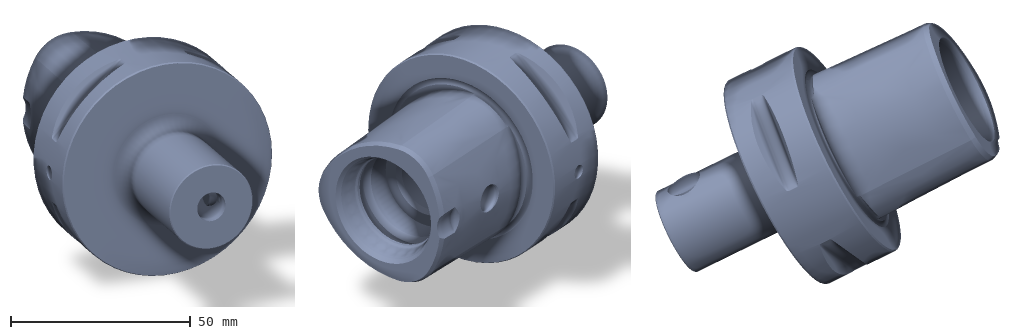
import cadquery as cq
import math


overall_length = 92.0
flange_front = 38.0
flange_width = 22.0
flange_back = flange_front + flange_width

shank_end = 35.9
shank_mean_radius = 22.0
lobe_center_distance = 10.1
lobe_rise = lobe_center_distance * (1 - math.sqrt(3) / 2)
shank_taper = 1 / 40
shank_chamfer_length = 1.5
shank_chamfer_depth = 0.6
lobe_count = 3

neck_radius = 22.5
neck_front = 37.5
relief_chamfer_length = 0.7
relief_chamfer_height = 1.0
relief_outer_radius = 24.3
relief_bottom_x = 38.5
relief_bottom_radius = 23.6

flange_radius = 63.0 / 2
flange_chamfer_length = 0.5
flange_chamfer_depth = 0.3
spigot_radius = 12.5
spigot_fillet = 3.9
spigot_chamfer = 0.3

mouth_radius = 16.1
mouth_cone_radius = 15.2
mouth_cone_start = 1.4
lip_cone_end = 6.35
lip_cone_radius = 13.9
lip_radius = 13.4
lip_start = 6.9
lip_end = 7.9
groove_radius = 16.0
groove_cone_start = 11.9
groove_cone_end = 13.4
groove_fillet = 0.9
socket_depth = 20.7
thread_chamfer_radius = 10.0
thread_radius = 8.8
thread_end = 50.6
through_radius = 4.2
drill_half_angle = math.radians(59)

slot_x = 50.05
slot_floor_height = 27.9
slot_floor_width = 3.6
slot_wall_angle = math.radians(30)
slot_fillet = 0.8
slot_count = 4

index_hole_radius = 2.0
index_hole_depth = 5.0

side_hole_x = 22.5
side_hole_radius = 8.0 / 2
side_hole_depth = 5.15
side_hole_countersink = 0.32

notch_radius = 6.0
notch_axis_y = -24.1
notch_length = 6.5

screw_x = 82.9
screw_radius = 5.15
screw_bottom = 2.0
screw_point_radius = 3.0
screw_point_length = 2.1
screw_point_chamfer = 0.3
screw_top = 12.0


def mean_radius_at(x):
    return shank_mean_radius - (shank_end - x) * shank_taper


def polygon_wire(x, mean_radius):
    """Constant-width outline of three lobe arcs and three flatter arcs between them."""
    offset = lobe_center_distance * math.sqrt(3) / 2
    edges = []
    for index in range(lobe_count):
        lobe_angle = index * 2 * math.pi / lobe_count
        center_y = lobe_center_distance * math.cos(lobe_angle)
        center_z = lobe_center_distance * math.sin(lobe_angle)
        lobe_arc = (mean_radius - offset, lobe_angle)
        flat_arc = (mean_radius + offset, lobe_angle + math.pi)
        for radius, middle in (lobe_arc, flat_arc):
            angles = (middle - math.pi / 6, middle, middle + math.pi / 6)
            points = [
                cq.Vector(x, center_y + radius * math.cos(a), center_z + radius * math.sin(a))
                for a in angles
            ]
            edges.append(cq.Edge.makeThreePointArc(*points))
    return cq.Wire.assembleEdges(edges)


def revolve_about_x(profile):
    return profile.close().revolve(360, (0, 0, 0), (1, 0, 0))


def drill(radius, depth):
    """Cutter along +X from the origin: a cylinder with a conical tip."""
    tip = radius / math.tan(drill_half_angle)
    return revolve_about_x(
        cq.Workplane("XY").lineTo(0, radius).lineTo(depth, radius).lineTo(depth + tip, 0)
    )


def radial_drill(x, surface_radius, radius, depth):
    """Drill going in from the -Y side towards the axis."""
    return drill(radius, depth).rotate((0, 0, 0), (0, 0, 1), 90).translate((x, -surface_radius, 0))


def polygon_shank():
    tip_radius = mean_radius_at(shank_chamfer_length)
    tip_wire = polygon_wire(0, tip_radius - shank_chamfer_depth)
    chamfer_wire = polygon_wire(shank_chamfer_length, tip_radius)
    end_wire = polygon_wire(shank_end, shank_mean_radius)
    root_wire = polygon_wire(neck_front, shank_mean_radius)
    shank = cq.Workplane(cq.Solid.makeLoft([tip_wire, chamfer_wire], True))
    shank = shank.union(cq.Workplane(cq.Solid.makeLoft([chamfer_wire, end_wire], True)))
    return shank.union(cq.Workplane(cq.Solid.makeLoft([end_wire, root_wire], True)))


def lobe_relief():
    """Turns the lobes down to the neck radius just ahead of the flange."""
    return revolve_about_x(
        cq.Workplane("XY")
        .moveTo(shank_end, neck_radius + relief_chamfer_height)
        .lineTo(shank_end + relief_chamfer_length, neck_radius)
        .lineTo(neck_front, neck_radius)
        .lineTo(neck_front, flange_radius)
        .lineTo(shank_end, flange_radius)
    )


def flange_and_spigot():
    fillet_end = flange_back + spigot_fillet
    fillet_middle = spigot_fillet * (1 - math.sqrt(0.5))
    return revolve_about_x(
        cq.Workplane("XY")
        .moveTo(neck_front, 0)
        .lineTo(neck_front, neck_radius)
        .threePointArc(
            (relief_bottom_x, relief_bottom_radius), (flange_front, relief_outer_radius)
        )
        .lineTo(flange_front, flange_radius - flange_chamfer_depth)
        .lineTo(flange_front + flange_chamfer_length, flange_radius)
        .lineTo(flange_back - flange_chamfer_length, flange_radius)
        .lineTo(flange_back, flange_radius - flange_chamfer_depth)
        .lineTo(flange_back, spigot_radius + spigot_fillet)
        .threePointArc(
            (flange_back + fillet_middle, spigot_radius + fillet_middle),
            (fillet_end, spigot_radius),
        )
        .lineTo(overall_length - spigot_chamfer, spigot_radius)
        .lineTo(overall_length, spigot_radius - spigot_chamfer)
        .lineTo(overall_length, 0)
    )


def stepped_bore():
    thread_chamfer = thread_chamfer_radius - thread_radius
    drill_tip = (thread_radius - through_radius) / math.tan(drill_half_angle)
    fillet_middle = groove_fillet * (1 - math.sqrt(0.5))
    groove_cone_radius = lip_radius + groove_cone_end - groove_cone_start
    return revolve_about_x(
        cq.Workplane("XY")
        .lineTo(0, mouth_radius)
        .lineTo(mouth_cone_start, mouth_cone_radius)
        .lineTo(lip_cone_end, lip_cone_radius)
        .lineTo(lip_start, lip_radius)
        .lineTo(lip_end, lip_radius)
        .lineTo(lip_end, groove_radius)
        .lineTo(groove_cone_start - groove_fillet, groove_radius)
        .threePointArc(
            (groove_cone_start - fillet_middle, groove_radius - fillet_middle),
            (groove_cone_start, groove_cone_radius),
        )
        .lineTo(groove_cone_end, lip_radius)
        .lineTo(socket_depth, lip_radius)
        .lineTo(socket_depth, thread_chamfer_radius)
        .lineTo(socket_depth + thread_chamfer, thread_radius)
        .lineTo(thread_end, thread_radius)
        .lineTo(thread_end + drill_tip, through_radius)
        .lineTo(overall_length, through_radius)
        .lineTo(overall_length, 0)
    )


def gripper_slot(angle):
    """Straight V-sided slot across the flange, turned about X."""
    height = flange_radius - slot_floor_height
    half_floor = slot_floor_width / 2
    half_top = half_floor + height * math.tan(slot_wall_angle)
    return (
        cq.Workplane("XZ")
        .moveTo(slot_x - half_floor, slot_floor_height)
        .lineTo(slot_x + half_floor, slot_floor_height)
        .lineTo(slot_x + half_top, flange_radius)
        .lineTo(slot_x - half_top, flange_radius)
        .close()
        .extrude(flange_radius, both=True)
        .faces("<Z")
        .edges("|Y")
        .fillet(slot_fillet)
        .rotate((0, 0, 0), (1, 0, 0), angle)
    )


def side_hole():
    surface_radius = mean_radius_at(side_hole_x) - lobe_rise
    hole = radial_drill(side_hole_x, surface_radius, side_hole_radius, side_hole_depth)
    cone_height = 2 * side_hole_countersink
    cone = cq.Solid.makeCone(
        side_hole_radius + cone_height,
        side_hole_radius,
        cone_height,
        cq.Vector(side_hole_x, -surface_radius - side_hole_countersink, 0),
        cq.Vector(0, 1, 0),
    )
    return hole.union(cq.Workplane(cone))


def drive_notch():
    return revolve_about_x(
        cq.Workplane("XY")
        .lineTo(0, notch_radius)
        .lineTo(notch_length, notch_radius)
        .lineTo(notch_length + notch_radius, 0)
    ).translate((0, notch_axis_y, 0))


def screw_body(top):
    """Flat-pointed cylinder along Y up to the given height, used for the screw and its hole."""
    point = (
        cq.Workplane("XZ", origin=(screw_x, screw_bottom, 0))
        .circle(screw_point_radius)
        .extrude(-screw_point_length)
        .faces("<Y")
        .chamfer(screw_point_chamfer)
    )
    shank_bottom = screw_bottom + screw_point_length
    shank = (
        cq.Workplane("XZ", origin=(screw_x, shank_bottom, 0))
        .circle(screw_radius)
        .extrude(shank_bottom - top)
    )
    return point.union(shank)


def adapter_body():
    body = polygon_shank().cut(lobe_relief()).union(flange_and_spigot())
    body = body.cut(stepped_bore()).cut(drive_notch()).cut(side_hole())
    body = body.cut(radial_drill(slot_x, flange_radius, index_hole_radius, index_hole_depth))
    for index in range(slot_count):
        body = body.cut(gripper_slot((index + 0.5) * 360 / slot_count))
    return body.cut(screw_body(flange_radius))


adapter = adapter_body().solids().val()
clamping_screw = screw_body(screw_top).solids().val()

result = cq.Compound.makeCompound([adapter, clamping_screw])